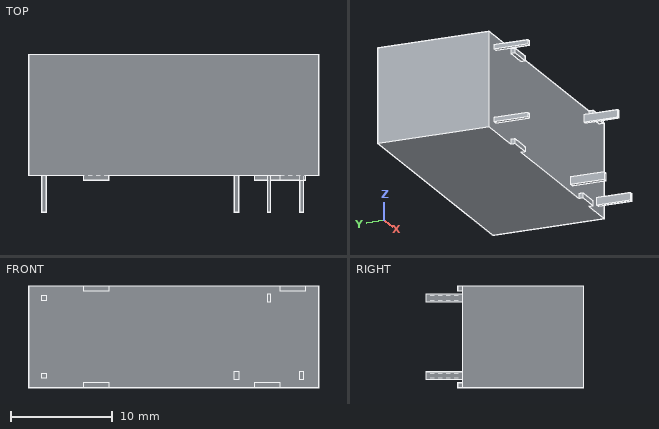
import cadquery as cq

length = 28.5
depth = 11.9
height = 10.0
total_depth = 15.5
pin_length = total_depth - depth

tab_length = 2.5
tab_height = 0.5
tab_depth = 0.45
left_tab_start = 5.4
lower_right_tab_start = 22.17
upper_right_tab_start = lower_right_tab_start + tab_length
lower_tab_z = tab_height / 2
upper_tab_z = height - tab_height / 2

row_spacing = 7.6
lower_row_z = (height - row_spacing) / 2
upper_row_z = lower_row_z + row_spacing

coil_pin_x = 1.5
coil_pin_size = 0.45
contact_pitch = 3.2
common_pin_x = 23.6
contact_pin_height = 0.8
common_pin_width = 0.3
inner_pin_width = 0.45
outer_pin_width = 0.4


def projection(center_x, center_z, width, tall, reach):
    """A rectangular bar standing out from the mounting face toward -Y."""
    return (
        cq.Workplane("XZ")
        .center(center_x, center_z)
        .rect(width, tall)
        .extrude(reach)
    )


result = cq.Workplane("XY").box(length, depth, height, centered=False)

tabs = [
    (left_tab_start, lower_tab_z),
    (left_tab_start, upper_tab_z),
    (lower_right_tab_start, lower_tab_z),
    (upper_right_tab_start, upper_tab_z),
]
for start_x, center_z in tabs:
    center_x = start_x + tab_length / 2
    result = result.union(projection(center_x, center_z, tab_length, tab_height, tab_depth))

pins = [
    (coil_pin_x, lower_row_z, coil_pin_size, coil_pin_size),
    (coil_pin_x, upper_row_z, coil_pin_size, coil_pin_size),
    (common_pin_x - contact_pitch, lower_row_z, inner_pin_width, contact_pin_height),
    (common_pin_x, upper_row_z, common_pin_width, contact_pin_height),
    (common_pin_x + contact_pitch, lower_row_z, outer_pin_width, contact_pin_height),
]
for center_x, center_z, width, tall in pins:
    result = result.union(projection(center_x, center_z, width, tall, pin_length))